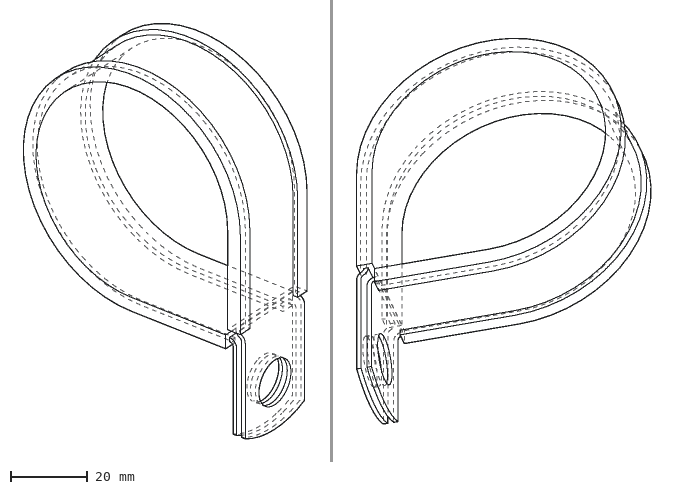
import cadquery as cq
import math

outer_radius = 36.0
inner_radius = 31.7
loop_width = 28.4
lip_width = 4.0
band_radius = 34.5
metal_thickness = 1.2
band_inner_radius = band_radius - metal_thickness

upright_end_z = -29.9
level_end_x = 31.1

tab_width = 25.3
tab_bottom_z = -65.1
tab_arc_drop = 2.9
hole_diameter = 13.5
hole_z = -50.8
outer_tab_x = 36.4

bend_inner_radius = 1.2
bend_outer_radius = bend_inner_radius + metal_thickness


def extrude_across(profile, width):
    """Extrude an XZ profile symmetrically along Y."""
    return profile.extrude(width / 2, both=True)


def loop_area(radius, width):
    """Solid three-quarter disc whose ends run on straight to the leg ends."""
    diagonal = radius * math.sqrt(0.5)
    profile = (
        cq.Workplane("XZ")
        .moveTo(0, -radius)
        .threePointArc((-diagonal, diagonal), (radius, 0))
        .lineTo(radius, upright_end_z)
        .lineTo(level_end_x, upright_end_z)
        .lineTo(level_end_x, -radius)
        .close()
    )
    return extrude_across(profile, width)


def loop_opening():
    """Space inside the loop, carried out through the gap between the leg ends."""
    diagonal = inner_radius * math.sqrt(0.5)
    profile = (
        cq.Workplane("XZ")
        .moveTo(0, -inner_radius)
        .threePointArc((-diagonal, diagonal), (inner_radius, 0))
        .lineTo(inner_radius, upright_end_z)
        .lineTo(level_end_x, upright_end_z)
        .lineTo(level_end_x, -inner_radius)
        .close()
    )
    return extrude_across(profile, loop_width)


def make_loop():
    groove_width = loop_width - 2 * lip_width
    band_groove = loop_area(outer_radius, groove_width).cut(loop_area(band_radius, groove_width))
    return loop_area(outer_radius, loop_width).cut(loop_opening()).cut(band_groove)


def bend_sector(center_x, center_z, start_angle, end_angle):
    """Curved strip of sheet metal; angles in radians, measured from +X toward +Z."""
    def at(radius, angle):
        return (center_x + radius * math.cos(angle), center_z + radius * math.sin(angle))

    middle_angle = (start_angle + end_angle) / 2
    profile = (
        cq.Workplane("XZ")
        .moveTo(*at(bend_inner_radius, start_angle))
        .threePointArc(at(bend_inner_radius, middle_angle), at(bend_inner_radius, end_angle))
        .lineTo(*at(bend_outer_radius, end_angle))
        .threePointArc(at(bend_outer_radius, middle_angle), at(bend_outer_radius, start_angle))
        .close()
    )
    return extrude_across(profile, tab_width)


def straight_tab(outside_x, top_z):
    """Flat sheet from the end of a bend down to the tab bottom."""
    profile = (
        cq.Workplane("XZ")
        .moveTo(outside_x - metal_thickness, tab_bottom_z)
        .lineTo(outside_x, tab_bottom_z)
        .lineTo(outside_x, top_z)
        .lineTo(outside_x - metal_thickness, top_z)
        .close()
    )
    return extrude_across(profile, tab_width)


def make_outer_tab():
    """Tab that leaves the vertical leg through two equal, opposite bends."""
    sideways_shift = outer_tab_x - band_radius
    bend_radius_sum = bend_inner_radius + bend_outer_radius
    bend_angle = math.acos(1 - sideways_shift / bend_radius_sum)
    flat_top_z = upright_end_z - bend_radius_sum * math.sin(bend_angle)
    upper_bend = bend_sector(
        band_radius + bend_inner_radius, upright_end_z, math.pi, math.pi + bend_angle
    )
    lower_bend = bend_sector(outer_tab_x - bend_outer_radius, flat_top_z, bend_angle, 0)
    return straight_tab(outer_tab_x, flat_top_z).union(lower_bend).union(upper_bend)


def make_inner_tab():
    """Tab that leaves the horizontal leg through a quarter-turn bend."""
    bend_center_z = -band_inner_radius - bend_outer_radius
    bend = bend_sector(level_end_x, bend_center_z, math.pi / 2, 0)
    return straight_tab(level_end_x + bend_outer_radius, bend_center_z).union(bend)


def tab_outline():
    """Side outline of both tabs: straight edges, arched lower end and bolt hole."""
    half_width = tab_width / 2
    shoulder_z = tab_bottom_z + tab_arc_drop
    return (
        cq.Workplane("YZ")
        .moveTo(-half_width, 0)
        .lineTo(-half_width, shoulder_z)
        .threePointArc((0, tab_bottom_z), (half_width, shoulder_z))
        .lineTo(half_width, 0)
        .close()
        .moveTo(0, hole_z)
        .circle(hole_diameter / 2)
        .extrude(outer_tab_x)
    )


tabs = make_outer_tab().union(make_inner_tab()).intersect(tab_outline())
result = make_loop().union(tabs)